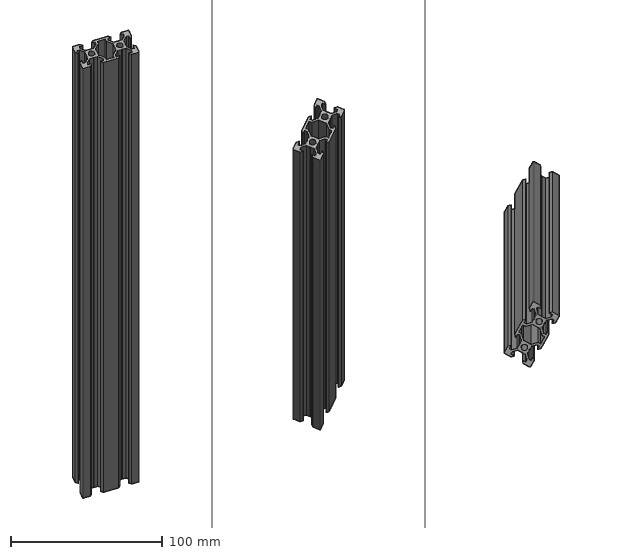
import cadquery as cq
import math

CELL = 20.0
LENGTH = 453.0
HALF_CELL = CELL / 2
OUTER_CORNER_RADIUS = 0.5
BORE_DIAMETER = 4.2

MOUTH_HALF_WIDTH = 9.16 / 2
THROAT_HALF_WIDTH = 6.2 / 2
POCKET_HALF_WIDTH = 11.0 / 2
LIP_THICKNESS = 1.8
CORE_HALF_WIDTH = 7.8 / 2
WEB_THICKNESS = 1.5
GROOVE_HALF_WIDTH = 0.2
GROOVE_DEPTH = 0.25

V_BOTTOM = HALF_CELL - (MOUTH_HALF_WIDTH - THROAT_HALF_WIDTH)
LIP_INNER_FACE = HALF_CELL - LIP_THICKNESS
WEB_OFFSET = WEB_THICKNESS / 2 * math.sqrt(2)
FLOOR_HALF_WIDTH = CORE_HALF_WIDTH - WEB_OFFSET
POCKET_CORNER = POCKET_HALF_WIDTH + WEB_OFFSET

CAVITY_HALF_HEIGHT = HALF_CELL - CORE_HALF_WIDTH
RECESS_HALF_HEIGHT = 5.4 / 2
RECESS_HALF_WIDTH = HALF_CELL - LIP_THICKNESS
OCTAGON_HALF_WIDTH = FLOOR_HALF_WIDTH + CAVITY_HALF_HEIGHT - RECESS_HALF_HEIGHT


def prism(outline):
    return cq.Workplane("XY").polyline(outline).close().extrude(LENGTH)


def mirrored_in_x(points):
    return [(-x, y) for x, y in reversed(points)]


def blank():
    """Full-length bar with rounded long edges."""
    bar = cq.Workplane("XY").rect(CELL, 2 * CELL).extrude(LENGTH)
    return bar.edges("|Z").fillet(OUTER_CORNER_RADIUS)


def cavity():
    """Central hollow, symmetric about both X and Y."""
    quarter = [
        (RECESS_HALF_WIDTH, RECESS_HALF_HEIGHT),
        (OCTAGON_HALF_WIDTH, RECESS_HALF_HEIGHT),
        (FLOOR_HALF_WIDTH, CAVITY_HALF_HEIGHT),
    ]
    upper = quarter + mirrored_in_x(quarter)
    lower = [(-x, -y) for x, y in upper]
    return prism(upper + lower)


def slot(angle, center_y):
    """Slot in one cell, opening on the face found by turning the +Y face by angle."""
    side = [
        (MOUTH_HALF_WIDTH, HALF_CELL),
        (THROAT_HALF_WIDTH, V_BOTTOM),
        (THROAT_HALF_WIDTH, LIP_INNER_FACE),
        (POCKET_HALF_WIDTH, LIP_INNER_FACE),
        (POCKET_HALF_WIDTH, POCKET_CORNER),
        (FLOOR_HALF_WIDTH, CORE_HALF_WIDTH),
        (GROOVE_HALF_WIDTH, CORE_HALF_WIDTH),
    ]
    groove_bottom = [(0, CORE_HALF_WIDTH - GROOVE_DEPTH)]
    cut = prism(side + groove_bottom + mirrored_in_x(side))
    return cut.rotate((0, 0, 0), (0, 0, 1), angle).translate((0, center_y, 0))


def bore(center_y):
    """Round hole through the core of one cell."""
    return cq.Workplane("XY").center(0, center_y).circle(BORE_DIAMETER / 2).extrude(LENGTH)


result = blank().cut(cavity())
for center_y, end_face_angle in ((HALF_CELL, 0), (-HALF_CELL, 180)):
    result = result.cut(bore(center_y))
    for angle in (end_face_angle, 90, -90):
        result = result.cut(slot(angle, center_y))